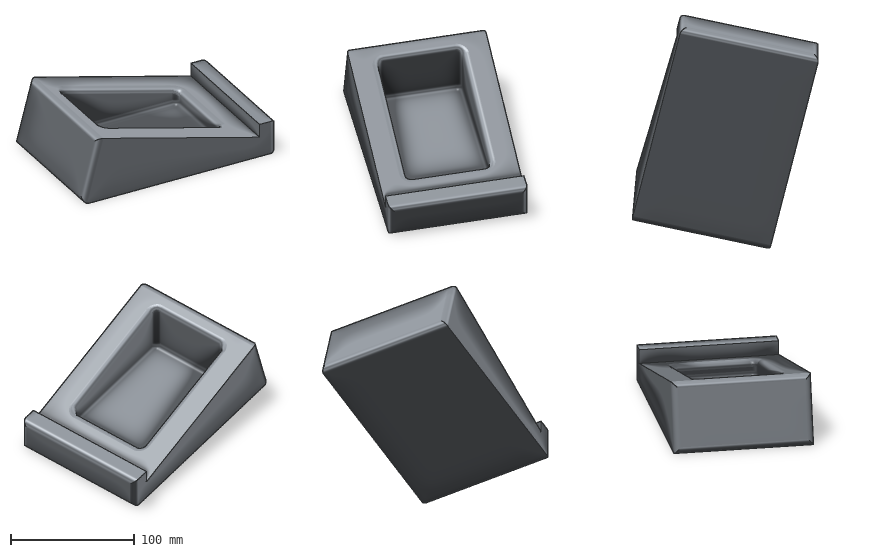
import cadquery as cq
import math

width = 115.0
length = 178.5
height = 57.0

slope_angle = math.radians(15)
edge_radius = 5.0
lip_thickness = 15.3
lip_height = 30.0

pocket_width = 70.0
pocket_length = 110.0
pocket_front = 28.5
floor_height = 10.0

rise = math.tan(slope_angle)

toe_y = edge_radius - edge_radius / math.tan((math.pi / 2 - slope_angle) / 2)

round_z = height - edge_radius
round_y = toe_y + round_z * rise + edge_radius / math.cos(slope_angle)


def slope_z(y):
    """Height of the sloped face, which is tangent to the upper front round."""
    return round_z + edge_radius / math.cos(slope_angle) - (y - round_y) * rise


crest_z = (slope_z(0) - toe_y * rise) / (1 + rise**2)
crest_y = toe_y + crest_z * rise
lip_y = length - lip_thickness


def make_body():
    """Side outline extruded across the width, centred on X = 0."""
    return (
        cq.Workplane("YZ")
        .polyline([
            (toe_y, 0),
            (length, 0),
            (length, lip_height),
            (lip_y, lip_height),
            (lip_y, slope_z(lip_y)),
            (crest_y, crest_z),
        ])
        .close()
        .extrude(width / 2, both=True)
    )


def make_pocket():
    """Cutter with rounded upright corners and a rounded floor edge."""
    return (
        cq.Workplane("XY")
        .box(pocket_width, pocket_length, height, centered=(True, False, False))
        .translate((0, pocket_front, floor_height))
        .edges("|Z or <Z")
        .fillet(edge_radius)
    )


body = make_body()
body = body.faces("<Y").edges().fillet(edge_radius)
body = body.faces(">Y").edges().fillet(edge_radius)
body = body.cut(make_pocket())

slope_normal = cq.Vector(0, math.sin(slope_angle), math.cos(slope_angle))
rim_reach = edge_radius / 2
rim_box = cq.selectors.BoxSelector(
    (-pocket_width / 2 - rim_reach, pocket_front - rim_reach, floor_height + 2 * edge_radius),
    (pocket_width / 2 + rim_reach, pocket_front + pocket_length + rim_reach, height),
)
sloped_face = body.faces(cq.selectors.ParallelDirSelector(slope_normal))
result = body.newObject(sloped_face.edges(rim_box).vals()).fillet(edge_radius)